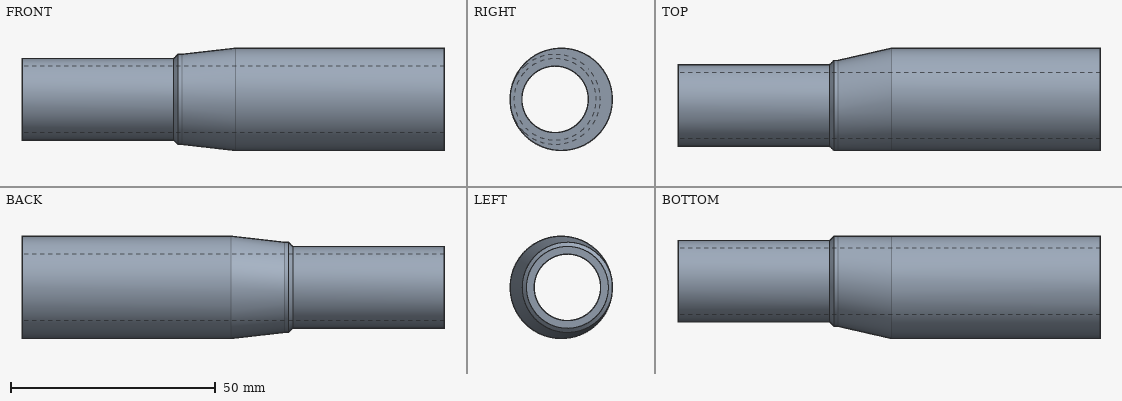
import cadquery as cq

total_length = 103.0
large_diameter = 25.0
small_diameter = 20.0
bore_diameter = 16.2
collar_chamfer = 1.0
collar_diameter = small_diameter + 2 * collar_chamfer

collar_start = 37.0
collar_length = 2.0
collar_end = collar_start + collar_length
taper_end = 52.0

small_axis_y = -(large_diameter - collar_diameter) / 2


def cylinder_along_x(diameter, start, end, axis_y):
    """Solid cylinder between two X stations."""
    plane = cq.Workplane("YZ", origin=(start, axis_y, 0))
    return plane.circle(diameter / 2).extrude(end - start)


small_pipe = cylinder_along_x(small_diameter, 0, collar_start, small_axis_y)
collar = (
    cylinder_along_x(collar_diameter, collar_start, collar_end, small_axis_y)
    .faces("<X")
    .chamfer(collar_chamfer)
)

taper = (
    cq.Workplane("YZ", origin=(collar_end, 0, 0))
    .center(small_axis_y, 0)
    .circle(collar_diameter / 2)
    .workplane(offset=taper_end - collar_end)
    .center(-small_axis_y, 0)
    .circle(large_diameter / 2)
    .loft(ruled=True)
)
large_pipe = cylinder_along_x(large_diameter, taper_end, total_length, 0)

bore = cylinder_along_x(bore_diameter, 0, total_length, small_axis_y)

result = small_pipe.union(collar).union(taper).union(large_pipe).cut(bore)